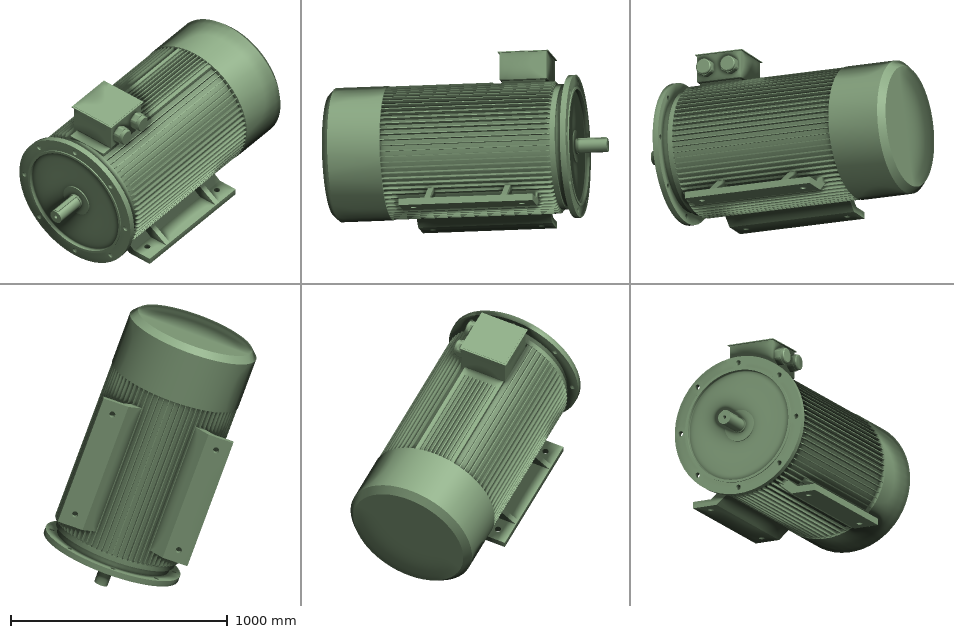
import cadquery as cq


SHAFT_DIAMETER = 65.0
SHAFT_LENGTH = 139.0
SHAFT_SHOULDER_DIAMETER = 72.0
CENTRE_HOLE_DIAMETER = 17.0
CENTRE_HOLE_DEPTH = 26.0
KEY_WIDTH = 18.0
KEY_TOP = 36.0
KEY_END_GAP = 5.0

FLANGE_FRONT = SHAFT_LENGTH
FLANGE_DIAMETER = 660.0
FLANGE_THICKNESS = 27.0
FLANGE_BACK = FLANGE_FRONT + FLANGE_THICKNESS
SPIGOT_DIAMETER = 550.0
SPIGOT_HEIGHT = 5.0
SPIGOT_FACE = FLANGE_FRONT - SPIGOT_HEIGHT
RECESS_DIAMETER = 526.0
RECESS_DEPTH = 19.0
RECESS_FLOOR_FILLET = 4.0
RECESS_FLOOR = SPIGOT_FACE + RECESS_DEPTH
BEARING_BOSS_DIAMETER = 150.0
BEARING_BOSS_HEIGHT = 5.0
FLANGE_HOLE_DIAMETER = 25.0
FLANGE_HOLE_CIRCLE = 600.0
FLANGE_HOLE_COUNT = 8
SHIELD_RING_DIAMETER = 580.0
SHIELD_RING_START = 197.0

FRAME_START = 222.0
FRAME_CORE_DIAMETER = 575.0
FIN_TIP_DIAMETER = 615.0
FIN_END_BEVEL = 12.0
FIN_THICKNESS = 4.0
FIN_PITCH_ANGLE = 5
FIN_GAP_HALF_ANGLE = 25
FIN_ROOT_OVERLAP = 6.0

PAD_WIDTH = 197.0
PAD_TOP = 289.0
PAD_START = 227.0
PAD_DEPTH = 52.0
PAD_FIN_COUNT = 9
PAD_FIN_PITCH = 19.0
PAD_FIN_START = 521.0
PAD_FIN_SLOPE_LENGTH = 12.0

COVER_START = 1015.0
COVER_END = 1290.0
COVER_DIAMETER = 620.0
COVER_CHAMFER = 30.0

FOOT_HALF_SPAN = 317.0
FOOT_BOTTOM = -315.0
FOOT_PLATE_THICKNESS = 31.0
FOOT_PLATE_TOP = FOOT_BOTTOM + FOOT_PLATE_THICKNESS
FOOT_START = 297.0
FOOT_END = 924.0
WEB_RISE_PER_RUN = 0.8
WEB_TOP_CORNER_X = 223.0
WEB_BOTTOM_CORNER_X = 196.0
WEB_INNER_X = 116.0
GUSSET_RISE_PER_RUN = 0.67
GUSSET_THICKNESS = 26.0
GUSSET_STARTS = (418.0, 778.0)
FOOT_HOLE_DIAMETER = 28.0
FOOT_HOLE_X = 254.0
FOOT_HOLE_POSITIONS_Y = (356.0, 864.0)

BOX_CENTRE_Y = 378.0
BOX_WIDTH = 220.0
BOX_BOTTOM = 299.0
BOX_BOTTOM_CHAMFER = 4.0
LID_WIDTH = 236.0
LID_TOP = 436.0
LID_PANEL_HEIGHT = 1.0
LID_STEP = LID_TOP - LID_PANEL_HEIGHT
LID_PLATE_THICKNESS = 4.0
LID_BOTTOM = LID_STEP - LID_PLATE_THICKNESS
LID_PANEL_INSET = 8.0
BOX_NECK_WIDTH = PAD_WIDTH
BOX_NECK_LENGTH = 203.0

GLAND_POSITIONS_Y = (319.0, 440.0)
GLAND_Z = 361.0
GLAND_COLLAR_DIAMETER = 65.0
GLAND_COLLAR_LENGTH = 4.0
GLAND_NUT_DIAMETER = 80.0
GLAND_NUT_SHARP_DIAMETER = 85.0
GLAND_NUT_LENGTH = 31.0
GLAND_CAP_DIAMETER = 72.0
GLAND_CAP_LENGTH = 17.0
GLAND_CAP_CHAMFER = 4.0


def cylinder(diameter, start, end):
    """Cylinder on the motor axis between two Y positions."""
    return cq.Workplane("XZ", origin=(0, start, 0)).circle(diameter / 2).extrude(start - end)


def block(width, y_range, z_range):
    """Box centred on X = 0 between the given Y and Z limits."""
    length = y_range[1] - y_range[0]
    height = z_range[1] - z_range[0]
    base = cq.Workplane("XY", origin=(0, y_range[0], z_range[0]))
    return base.box(width, length, height, centered=(True, False, False))


def make_shaft():
    """Shaft end with its shoulder, key and centre hole."""
    shaft = cylinder(SHAFT_DIAMETER, 0, FRAME_START)
    shoulder = cylinder(SHAFT_SHOULDER_DIAMETER, SHAFT_LENGTH, FRAME_START)
    key = block(KEY_WIDTH, (KEY_END_GAP, SHAFT_LENGTH), (0, KEY_TOP))
    return shaft.union(shoulder).union(key).cut(cylinder(CENTRE_HOLE_DIAMETER, 0, CENTRE_HOLE_DEPTH))


def make_flange():
    """Drilled mounting flange with the recessed bearing shield behind it."""
    flange = cylinder(FLANGE_DIAMETER, FLANGE_FRONT, FLANGE_BACK)
    holes = (
        cq.Workplane("XZ", origin=(0, FLANGE_FRONT, 0))
        .polarArray(FLANGE_HOLE_CIRCLE / 2, 0, 360, FLANGE_HOLE_COUNT)
        .circle(FLANGE_HOLE_DIAMETER / 2)
        .extrude(-FLANGE_THICKNESS)
    )
    shield = cylinder(SPIGOT_DIAMETER, SPIGOT_FACE, FRAME_START)
    recess = cylinder(RECESS_DIAMETER, SPIGOT_FACE, RECESS_FLOOR)
    recess = recess.faces(">Y").edges().fillet(RECESS_FLOOR_FILLET)
    boss = cylinder(BEARING_BOSS_DIAMETER, RECESS_FLOOR - BEARING_BOSS_HEIGHT, FLANGE_BACK)
    ring = cylinder(SHIELD_RING_DIAMETER, SHIELD_RING_START, FRAME_START)
    return flange.cut(holes).union(shield).union(ring).cut(recess).union(boss)


def fin_envelope():
    """Cylinder through the fin tips, bevelled at the flange end."""
    return cylinder(FIN_TIP_DIAMETER, FRAME_START, COVER_START).faces("<Y").chamfer(FIN_END_BEVEL)


def make_radial_fins():
    """Straight fins all round the frame except beside the top pad; the tips are trimmed later."""
    root = FRAME_CORE_DIAMETER / 2 - FIN_ROOT_OVERLAP
    height = FIN_TIP_DIAMETER / 2 + FIN_ROOT_OVERLAP - root
    swept_angle = 360 - 2 * FIN_GAP_HALF_ANGLE
    fin_count = swept_angle // FIN_PITCH_ANGLE + 1
    return (
        cq.Workplane("XZ", origin=(0, FRAME_START, 0))
        .polarArray(root + height / 2, 90 + FIN_GAP_HALF_ANGLE, swept_angle, fin_count)
        .rect(height, FIN_THICKNESS)
        .extrude(FRAME_START - COVER_START)
    )


def make_pad_fins():
    """Upright parallel fins on the pad, sloping down at the end nearest the terminal box."""
    root = PAD_TOP - FIN_ROOT_OVERLAP
    tip = FIN_TIP_DIAMETER / 2
    slope = PAD_FIN_SLOPE_LENGTH / (tip - PAD_TOP)
    profile = [
        (PAD_FIN_START - FIN_ROOT_OVERLAP * slope, root),
        (PAD_FIN_START + PAD_FIN_SLOPE_LENGTH, tip),
        (COVER_START, tip),
        (COVER_START, root),
    ]
    middle_index = (PAD_FIN_COUNT - 1) / 2
    fin = cq.Workplane("YZ").polyline(profile).close().extrude(FIN_THICKNESS / 2, both=True)
    fins = cq.Workplane("XY")
    for index in range(PAD_FIN_COUNT):
        fins = fins.add(fin.translate(((index - middle_index) * PAD_FIN_PITCH, 0, 0)))
    return fins.combine()


def make_frame():
    """Cylindrical core with its top pad and all fins trimmed to the tip envelope."""
    core = cylinder(FRAME_CORE_DIAMETER, FRAME_START, COVER_START)
    fins = make_radial_fins().add(make_pad_fins()).combine().intersect(fin_envelope())
    pad = block(PAD_WIDTH, (PAD_START, COVER_START), (PAD_TOP - PAD_DEPTH, PAD_TOP))
    return core.union(pad).union(fins)


def make_fan_cover():
    """Plain cylindrical cover with a chamfered far end."""
    return cylinder(COVER_DIAMETER, COVER_START, COVER_END).faces(">Y").chamfer(COVER_CHAMFER)


def extrude_foot_profile(points, start, end):
    """Extrude an X-Z outline between two Y positions."""
    return cq.Workplane("XZ", origin=(0, start, 0)).polyline(points).close().extrude(start - end)


def make_foot():
    """Foot on the +X side: plate, sloping web and two gussets."""
    web_top_z = FOOT_PLATE_TOP + (WEB_TOP_CORNER_X - WEB_INNER_X) * WEB_RISE_PER_RUN
    web_bottom_z = FOOT_BOTTOM + (WEB_BOTTOM_CORNER_X - WEB_INNER_X) * WEB_RISE_PER_RUN
    plate_and_web = [
        (FOOT_HALF_SPAN, FOOT_BOTTOM),
        (FOOT_HALF_SPAN, FOOT_PLATE_TOP),
        (WEB_TOP_CORNER_X, FOOT_PLATE_TOP),
        (WEB_INNER_X, web_top_z),
        (WEB_INNER_X, web_bottom_z),
        (WEB_BOTTOM_CORNER_X, FOOT_BOTTOM),
    ]
    foot = extrude_foot_profile(plate_and_web, FOOT_START, FOOT_END)
    gusset = [
        (FOOT_HALF_SPAN, FOOT_PLATE_TOP),
        (WEB_INNER_X, FOOT_PLATE_TOP + (FOOT_HALF_SPAN - WEB_INNER_X) * GUSSET_RISE_PER_RUN),
        (WEB_INNER_X, web_bottom_z),
        (WEB_TOP_CORNER_X, FOOT_PLATE_TOP),
    ]
    for start in GUSSET_STARTS:
        foot = foot.union(extrude_foot_profile(gusset, start, start + GUSSET_THICKNESS))
    holes = (
        cq.Workplane("XY", origin=(0, 0, FOOT_BOTTOM))
        .pushPoints([(FOOT_HOLE_X, y) for y in FOOT_HOLE_POSITIONS_Y])
        .circle(FOOT_HOLE_DIAMETER / 2)
        .extrude(FOOT_PLATE_TOP - FOOT_BOTTOM)
    )
    return foot.cut(holes)


def box_block(width, length, bottom, top):
    """Block centred on the terminal box."""
    half = length / 2
    return block(width, (BOX_CENTRE_Y - half, BOX_CENTRE_Y + half), (bottom, top))


def make_terminal_box():
    """Terminal box on a low neck, closed by an overhanging lid with a raised panel."""
    panel_width = LID_WIDTH - 2 * LID_PANEL_INSET
    neck = box_block(BOX_NECK_WIDTH, BOX_NECK_LENGTH, PAD_TOP, BOX_BOTTOM)
    box = box_block(BOX_WIDTH, BOX_WIDTH, BOX_BOTTOM, LID_BOTTOM)
    box = box.faces("<Z").chamfer(BOX_BOTTOM_CHAMFER)
    lid = box_block(LID_WIDTH, LID_WIDTH, LID_BOTTOM, LID_STEP)
    panel = box_block(panel_width, panel_width, LID_STEP, LID_TOP)
    return neck.union(box).union(lid).union(panel)


def make_gland(centre_y):
    """Cable gland: collar, hexagon nut with rounded corners and chamfered round cap."""
    nut_start = BOX_WIDTH / 2 + GLAND_COLLAR_LENGTH
    cap_start = nut_start + GLAND_NUT_LENGTH

    def section(start):
        return cq.Workplane("YZ", origin=(start, centre_y, GLAND_Z))

    collar = section(BOX_WIDTH / 2).circle(GLAND_COLLAR_DIAMETER / 2).extrude(GLAND_COLLAR_LENGTH)
    hexagon = (
        section(nut_start)
        .transformed(rotate=(0, 0, 90))
        .polygon(6, GLAND_NUT_SHARP_DIAMETER)
        .extrude(GLAND_NUT_LENGTH)
    )
    nut = section(nut_start).circle(GLAND_NUT_DIAMETER / 2).extrude(GLAND_NUT_LENGTH).intersect(hexagon)
    cap = section(cap_start).circle(GLAND_CAP_DIAMETER / 2).extrude(GLAND_CAP_LENGTH)
    return collar.union(nut).union(cap.faces(">X").chamfer(GLAND_CAP_CHAMFER))


foot = make_foot()
result = make_frame().union(make_flange()).union(make_shaft()).union(make_fan_cover())
result = result.union(foot).union(foot.mirror("YZ")).union(make_terminal_box())
for gland_y in GLAND_POSITIONS_Y:
    result = result.union(make_gland(gland_y))